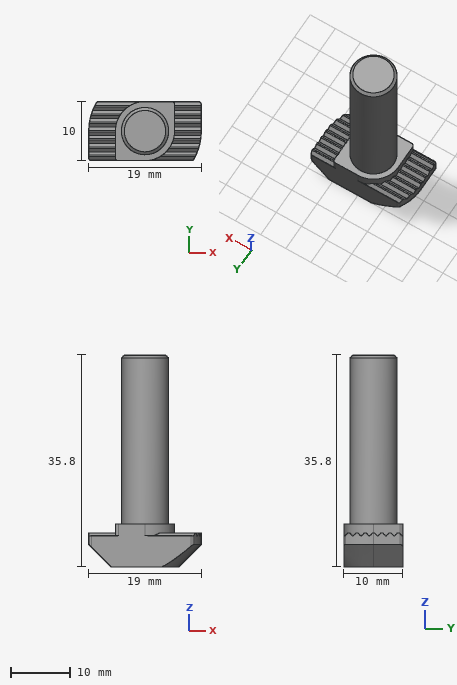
import cadquery as cq
import math

total_height = 35.8
head_length = 19.0
head_width = 10.0
head_height = 5.8
base_length = 11.4
corner_radius = 0.5
collar_top = 7.3
shank_diameter = 8.0
shank_chamfer = 0.5
tooth_pitch = 1.4
tooth_depth = 0.57
groove_count = 8

half_length = head_length / 2
half_width = head_width / 2
half_base = base_length / 2
shoulder_height = half_length - half_base
groove_root = head_height - tooth_depth


def quarter_turn_prism(end_radius, height):
    """Prism with two square and two round ends, so that it can turn in a slot."""
    arc_end_x = math.sqrt(end_radius**2 - half_width**2)
    arc_middle_angle = math.asin(half_width / end_radius) / 2
    middle_x = end_radius * math.cos(arc_middle_angle)
    middle_y = end_radius * math.sin(arc_middle_angle)
    return (
        cq.Workplane("XY")
        .moveTo(end_radius, 0)
        .lineTo(end_radius, half_width)
        .lineTo(-arc_end_x, half_width)
        .threePointArc((-middle_x, middle_y), (-end_radius, 0))
        .lineTo(-end_radius, -half_width)
        .lineTo(arc_end_x, -half_width)
        .threePointArc((middle_x, -middle_y), (end_radius, 0))
        .close()
        .extrude(height)
    )


def flared_profile():
    """Half profile of the head in the XZ plane."""
    return cq.Workplane("XZ").polyline([
        (0, 0),
        (half_base, 0),
        (half_length, shoulder_height),
        (half_length, head_height),
        (0, head_height),
    ]).close()


def make_head():
    prism = quarter_turn_prism(half_length, head_height)
    square_corners = prism.edges("|Z").edges(">Y or <Y")
    prism = square_corners.fillet(corner_radius)

    cone = flared_profile().revolve(360, (0, 0, 0), (0, 1, 0))
    wedge = flared_profile().extrude(-half_width)
    opposite_wedge = wedge.rotate((0, 0, 0), (0, 0, 1), 180)
    return prism.intersect(cone.union(wedge).union(opposite_wedge))


def make_grooves():
    """V grooves at 45 degrees along X."""
    grooves = cq.Workplane("YZ")
    outer_root = (groove_count - 1) / 2 * tooth_pitch
    for index in range(groove_count):
        root_y = index * tooth_pitch - outer_root
        left_y = root_y - tooth_depth
        right_y = root_y + tooth_depth
        points = [(left_y, head_height), (root_y, groove_root), (right_y, head_height)]
        grooves = grooves.polyline(points).close()
    return grooves.extrude(half_length, both=True)


def make_collar():
    """Round collar with two opposite corners left square."""
    height = collar_top - shoulder_height
    collar = cq.Workplane("XY").circle(half_width).extrude(height)
    for side in (-1, 1):
        center = side * half_width / 2
        corner = (
            cq.Workplane("XY")
            .center(center, center)
            .rect(half_width, half_width)
            .extrude(height)
            .edges("|Z and >X and >Y" if side > 0 else "|Z and <X and <Y")
            .fillet(corner_radius)
        )
        collar = collar.union(corner)
    return collar.translate((0, 0, shoulder_height))


def make_shank():
    return (
        cq.Workplane("XY")
        .workplane(offset=shoulder_height)
        .circle(shank_diameter / 2)
        .extrude(total_height - shoulder_height)
        .faces(">Z")
        .chamfer(shank_chamfer)
    )


head = make_head().cut(make_grooves())
result = head.union(make_collar()).union(make_shank())